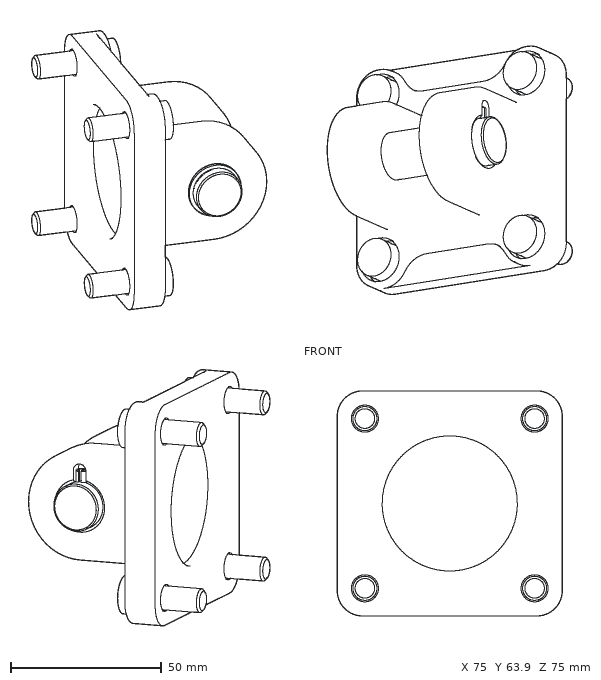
import cadquery as cq
import math

PLATE_SIDE = 75.0
PLATE_THICKNESS = 11.0
PLATE_CORNER_RADIUS = 8.55
EDGE_RADIUS = 0.5

SPIGOT_DIAMETER = 45.0
SPIGOT_DEPTH = 5.25
SPIGOT_RIM_RADIUS = 1.0

RELIEF_DEPTH = 2.8
WALL_HALF_LENGTH = 11.6
SWEEP_RADIUS = 9.8

SCREW_PITCH = 56.5
SHANK_DIAMETER = 8.0
HEAD_DIAMETER = 13.0
HEAD_HEIGHT = 8.0
SCREW_LENGTH = 20.0
SCREW_PROTRUSION = 13.4
SCREW_TIP_CHAMFER = 0.75
CLEARANCE_DIAMETER = 9.0
COUNTERBORE_DIAMETER = 15.0
PAD_RADIUS = (PLATE_SIDE - SCREW_PITCH) / 2

LUG_RADIUS = 18.5
LUG_GAP = 20.85
LUG_WIDTH = 14.85
LUG_OUTER_X = LUG_GAP / 2 + LUG_WIDTH
PIN_AXIS_Y = 32.0
BORE_CHAMFER = 1.0
BOX_MARGIN = 0.1

PIN_DIAMETER = 16.0
PIN_START_X = -28.95
PIN_LENGTH = 60.0
PIN_CHAMFER = 0.5

STUD_DIAMETER = 4.0
STUD_BORE = 1.8
STUD_TOP_Z = 12.0
STUD_AXIS_X = -23.25
STUD_CHAMFER = 0.4
SLIT_WIDTH = 1.05
SLOT_WIDTH = 4.4
SLOT_DEPTH = 4.5

RING_DIAMETER = 18.2
GROOVE_DIAMETER = 15.2
RING_START_X = 25.95
RING_WIDTH = 1.05
RING_OFFSET_Y = -0.2

SCREW_CENTRES = [(sx * SCREW_PITCH / 2, sz * SCREW_PITCH / 2) for sx in (-1, 1) for sz in (-1, 1)]
SEAT_Y = SCREW_LENGTH - SCREW_PROTRUSION


def cylinder_y(diameter, start_y, length, x=0.0, z=0.0):
    """Cylinder along +Y."""
    solid = cq.Solid.makeCylinder(diameter / 2, length, cq.Vector(x, start_y, z), cq.Vector(0, 1, 0))
    return cq.Workplane(solid)


def cylinder_x(diameter, start_x, length, y=PIN_AXIS_Y):
    """Cylinder along +X, on the pin axis unless another y is given."""
    solid = cq.Solid.makeCylinder(diameter / 2, length, cq.Vector(start_x, y, 0), cq.Vector(1, 0, 0))
    return cq.Workplane(solid)


def relief():
    """Pocket along the upper side: each end sweeps round a screw pad and down to a flat wall."""
    screw = SCREW_PITCH / 2
    edge_z = PLATE_SIDE / 2
    arc_span = screw - WALL_HALF_LENGTH
    centre_distance = PAD_RADIUS + SWEEP_RADIUS
    sweep_centre_z = screw + math.sqrt(centre_distance**2 - arc_span**2)
    wall_z = sweep_centre_z - SWEEP_RADIUS

    joint_x = screw - PAD_RADIUS * arc_span / centre_distance
    joint_z = screw + PAD_RADIUS * (sweep_centre_z - screw) / centre_distance
    half = (
        cq.Workplane("XZ", origin=(0, PLATE_THICKNESS, 0))
        .moveTo(0, edge_z)
        .lineTo(0, wall_z)
        .lineTo(WALL_HALF_LENGTH, wall_z)
        .tangentArcPoint((joint_x, joint_z), relative=False)
        .tangentArcPoint((screw, edge_z), relative=False)
        .close()
        .extrude(RELIEF_DEPTH)
    )
    return half.union(half.mirror("YZ")).clean()


def make_plate():
    """Square plate with rounded corners, relieved along its upper and lower side."""
    plate = (
        cq.Workplane("XZ")
        .rect(PLATE_SIDE, PLATE_SIDE)
        .extrude(-PLATE_THICKNESS)
        .edges("|Y")
        .fillet(PLATE_CORNER_RADIUS)
    )
    upper_relief = relief()
    plate = plate.cut(upper_relief).cut(upper_relief.mirror("XY"))
    return plate.faces(">Y").edges().fillet(EDGE_RADIUS)


def make_lug(start_x):
    """Round-ended lug standing on the back of the plate, its rims rounded."""
    lug = (
        cq.Workplane("YZ", origin=(start_x, 0, 0))
        .moveTo(PLATE_THICKNESS, -LUG_RADIUS)
        .lineTo(PIN_AXIS_Y, -LUG_RADIUS)
        .threePointArc((PIN_AXIS_Y + LUG_RADIUS, 0), (PIN_AXIS_Y, LUG_RADIUS))
        .lineTo(PLATE_THICKNESS, LUG_RADIUS)
        .close()
        .extrude(LUG_WIDTH)
    )
    rims = lug.faces("<X or >X").edges("not <Y")
    return rims.fillet(EDGE_RADIUS)


def stud_slot():
    """Round-ended slot in the outer face of the -X lug."""
    return (
        cq.Workplane("YZ", origin=(-LUG_OUTER_X, PIN_AXIS_Y, 0))
        .center(0, STUD_TOP_Z / 2)
        .slot2D(STUD_TOP_Z + SLOT_WIDTH, SLOT_WIDTH, 90)
        .extrude(SLOT_DEPTH)
    )


def bore_chamfer():
    """Lead-in cone of the pin bore at the outer face of the -X lug."""
    bore_radius = PIN_DIAMETER / 2
    cone = cq.Solid.makeCone(
        bore_radius + BORE_CHAMFER,
        bore_radius,
        BORE_CHAMFER,
        cq.Vector(-LUG_OUTER_X, PIN_AXIS_Y, 0),
        cq.Vector(1, 0, 0),
    )
    return cq.Workplane(cone)


def make_bracket():
    """Plate and lugs in one piece, with the spigot recess, screw holes, pin bore and stud slot."""
    bracket = make_plate()
    for start_x in (-LUG_OUTER_X, LUG_GAP / 2):
        bracket = bracket.union(make_lug(start_x))
    lug_roots = cq.selectors.BoxSelector(
        (-LUG_OUTER_X - BOX_MARGIN, PLATE_THICKNESS - BOX_MARGIN, -LUG_RADIUS - BOX_MARGIN),
        (LUG_OUTER_X + BOX_MARGIN, PLATE_THICKNESS + BOX_MARGIN, LUG_RADIUS + BOX_MARGIN),
        boundingbox=True,
    )
    bracket = bracket.edges(lug_roots).fillet(EDGE_RADIUS)

    spigot = cylinder_y(SPIGOT_DIAMETER, 0, SPIGOT_DEPTH)
    bracket = bracket.cut(spigot)
    largest_circle = cq.selectors.RadiusNthSelector(-1)
    bracket = bracket.faces("<Y").edges(largest_circle).fillet(SPIGOT_RIM_RADIUS)

    for x, z in SCREW_CENTRES:
        bracket = bracket.cut(cylinder_y(CLEARANCE_DIAMETER, 0, PLATE_THICKNESS, x, z))
        bracket = bracket.cut(cylinder_y(COUNTERBORE_DIAMETER, SEAT_Y, PLATE_THICKNESS - SEAT_Y, x, z))

    bracket = bracket.cut(cylinder_x(PIN_DIAMETER, -LUG_OUTER_X, 2 * LUG_OUTER_X))
    lead_in = bore_chamfer()
    return bracket.cut(lead_in).cut(lead_in.mirror("YZ")).cut(stud_slot())


def make_stud():
    """Slit sleeve that stands on the pin; its slit opens towards -X."""
    stud = (
        cq.Workplane("XY", origin=(STUD_AXIS_X, PIN_AXIS_Y, 0))
        .circle(STUD_DIAMETER / 2)
        .extrude(STUD_TOP_Z)
        .faces(">Z")
        .chamfer(STUD_CHAMFER)
    )
    bore = (
        cq.Workplane("XY", origin=(STUD_AXIS_X, PIN_AXIS_Y, 0))
        .circle(STUD_BORE / 2)
        .extrude(STUD_TOP_Z)
    )
    slit = cq.Workplane("XY").box(STUD_DIAMETER, SLIT_WIDTH, STUD_TOP_Z, centered=(False, True, False))
    slit = slit.translate((STUD_AXIS_X - STUD_DIAMETER, PIN_AXIS_Y, 0))
    return stud.cut(bore).cut(slit)


def make_pin():
    """Pin with chamfered ends, a groove for the retaining ring and the locking stud."""
    pin = cylinder_x(PIN_DIAMETER, PIN_START_X, PIN_LENGTH).faces("<X or >X").chamfer(PIN_CHAMFER)
    groove = cylinder_x(PIN_DIAMETER, RING_START_X, RING_WIDTH).cut(
        cylinder_x(GROOVE_DIAMETER, RING_START_X, RING_WIDTH)
    )
    return pin.cut(groove).union(make_stud())


def make_retaining_ring():
    """Eccentric ring that fills the groove of the pin."""
    ring = cylinder_x(RING_DIAMETER, RING_START_X, RING_WIDTH, PIN_AXIS_Y + RING_OFFSET_Y)
    return ring.cut(cylinder_x(GROOVE_DIAMETER, RING_START_X, RING_WIDTH))


def make_screw(x, z):
    """Cap screw along Y, its head sunk into the counterbore."""
    shank = (
        cylinder_y(SHANK_DIAMETER, -SCREW_PROTRUSION, SCREW_LENGTH, x, z)
        .faces("<Y")
        .chamfer(SCREW_TIP_CHAMFER)
    )
    return shank.union(cylinder_y(HEAD_DIAMETER, SEAT_Y, HEAD_HEIGHT, x, z))


bracket = make_bracket()
pin = make_pin()
retaining_ring = make_retaining_ring()
screws = [make_screw(x, z) for x, z in SCREW_CENTRES]

result = cq.Compound.makeCompound(
    [bracket.val(), pin.val(), retaining_ring.val(), *[screw.val() for screw in screws]]
)